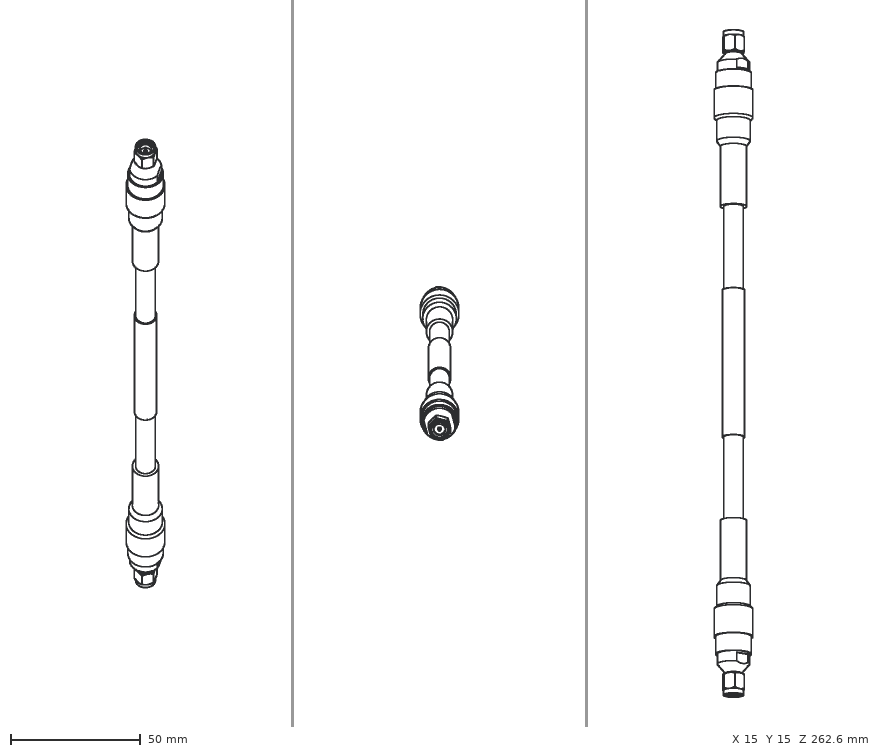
import cadquery as cq
import math

overall_length = 262.57
half_length = overall_length / 2

cable_diameter = 7.62
sleeve_diameter = 8.64
sleeve_length = 58.2

nose_diameter = 7.76
neck_diameter = 6.35
shoulder_diameter = 12.47
shell_diameter = 13.74
collar_diameter = 15.01
rear_diameter = 12.95
boot_diameter = 10.16

nut_start = 1.8
nut_end = 8.2
neck_end = 8.6
cone_end = 12.2
shoulder_end = 16.2
shell_end = 23.1
collar_end = 35.05
rear_edge = 43.2
rear_end = 45.3
boot_end = 69.1

collar_chamfer = (collar_diameter - rear_diameter) / 2

nut_sides = 6
nut_across_flats = 7.94
nut_corner_diameter = 9.0

flats_across = 11.2
flats_start = 11.4
flats_end = 15.4

mouth_diameter = 6.35
mouth_depth = 0.6
bore_diameter = 6.05
bore_depth = 1.2
contact_diameter = 4.45
contact_depth = 3.2

pin_diameter = 0.94
pin_setback = 0.8
pin_base_diameter = 1.19
pin_base_setback = 2.4


def cylinder(diameter, start, end):
    """Cylinder on the Z axis between two depths."""
    return cq.Workplane("XY").workplane(offset=start).circle(diameter / 2).extrude(end - start)


def hex_nut():
    """Hexagon with two flats facing +X and -X, its turned corners chamfered at both ends."""
    half_face_angle = 180 / nut_sides
    corner_circle = nut_across_flats / math.cos(math.radians(half_face_angle))
    hexagon = (
        cq.Workplane("XY")
        .workplane(offset=nut_start)
        .transformed(rotate=(0, 0, half_face_angle))
        .polygon(nut_sides, corner_circle)
        .extrude(nut_end - nut_start)
    )
    chamfer = (nut_corner_diameter - nut_across_flats) / 2
    outline = [
        (0, nut_start),
        (nut_across_flats / 2, nut_start),
        (nut_corner_diameter / 2, nut_start + chamfer),
        (nut_corner_diameter / 2, nut_end - chamfer),
        (nut_across_flats / 2, nut_end),
        (0, nut_end),
    ]
    envelope = cq.Workplane("XZ").polyline(outline).close().revolve(360, (0, 0), (0, 1))
    return hexagon.intersect(envelope)


def connector_shell():
    """Turned outline from the nose to the end of the boot, around the Z axis."""
    outline = [
        (0, 0),
        (nose_diameter / 2, 0),
        (nose_diameter / 2, nut_start),
        (neck_diameter / 2, nut_start),
        (neck_diameter / 2, neck_end),
        (shoulder_diameter / 2, cone_end),
        (shoulder_diameter / 2, shoulder_end),
        (shell_diameter / 2, shoulder_end),
        (shell_diameter / 2, shell_end),
        (collar_diameter / 2, shell_end),
        (collar_diameter / 2, collar_end - collar_chamfer),
        (rear_diameter / 2, collar_end),
        (rear_diameter / 2, rear_edge),
        (boot_diameter / 2, rear_end),
        (boot_diameter / 2, boot_end),
        (0, boot_end),
    ]
    return cq.Workplane("XZ").polyline(outline).close().revolve(360, (0, 0), (0, 1))


def cut_wrench_flats(body):
    """Two opposite flats facing +X and -X."""
    flats_length = flats_end - flats_start
    block_depth = shoulder_diameter - flats_across
    for side in (-1, 1):
        block = cq.Workplane("XY").box(block_depth, shoulder_diameter, flats_length)
        block_x = side * (flats_across + block_depth) / 2
        body = body.cut(block.translate((block_x, 0, (flats_start + flats_end) / 2)))
    return body


def cut_socket(body):
    """Stepped socket with a centre pin standing on its floor."""
    body = body.cut(cylinder(mouth_diameter, 0, mouth_depth))
    body = body.cut(cylinder(bore_diameter, 0, bore_depth))
    body = body.cut(cylinder(contact_diameter, bore_depth, contact_depth))
    body = body.union(cylinder(pin_base_diameter, pin_base_setback, contact_depth))
    return body.union(cylinder(pin_diameter, pin_setback, contact_depth))


def make_connector():
    """Connector with its mating end at Z = 0 and its boot towards +Z."""
    body = connector_shell().union(hex_nut())
    body = cut_wrench_flats(body)
    body = cut_socket(body)
    return body.cut(cylinder(cable_diameter, rear_end, boot_end))


def make_cable():
    """Cable that ends inside both boots, with the marker sleeve around its middle."""
    cable_half_length = half_length - rear_end
    cable = cylinder(cable_diameter, -cable_half_length, cable_half_length)
    return cable.union(cylinder(sleeve_diameter, -sleeve_length / 2, sleeve_length / 2))


cable = make_cable()
connectors = []
for turn in (0, 180):
    connector = make_connector().translate((0, 0, -half_length))
    connectors.append(connector.rotate((0, 0, 0), (1, 0, 0), turn))

result = cq.Compound.makeCompound([cable.val(), *[connector.val() for connector in connectors]])